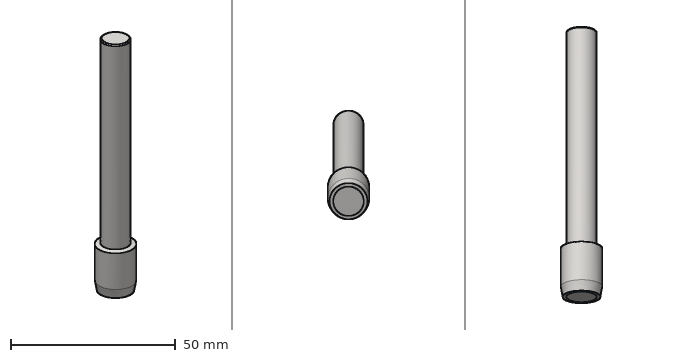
import cadquery as cq

TOTAL_HEIGHT = 85.7

SLEEVE_DIAMETER = 12.7
SLEEVE_HEIGHT = 16.0
SLEEVE_FOOT_DIAMETER = 11.5
LEAD_IN_HEIGHT = 3.3
SHOULDER_RISE = 0.4

PIN_DIAMETER = 9.25
PIN_TOP_CHAMFER = 0.4


def make_pin():
    """Straight round pin with a chamfered top edge."""
    pin = cq.Workplane("XY").circle(PIN_DIAMETER / 2).extrude(TOTAL_HEIGHT)
    return pin.faces(">Z").chamfer(PIN_TOP_CHAMFER)


def make_sleeve():
    """Round sleeve with a tapered foot, a shallow conical shoulder and a bore that fits the pin."""
    bore_radius = PIN_DIAMETER / 2
    outer_radius = SLEEVE_DIAMETER / 2
    return (
        cq.Workplane("XZ")
        .moveTo(bore_radius, 0)
        .lineTo(SLEEVE_FOOT_DIAMETER / 2, 0)
        .lineTo(outer_radius, LEAD_IN_HEIGHT)
        .lineTo(outer_radius, SLEEVE_HEIGHT - SHOULDER_RISE)
        .lineTo(bore_radius, SLEEVE_HEIGHT)
        .close()
        .revolve(360, (0, 0, 0), (0, 1, 0))
    )


pin = make_pin()
sleeve = make_sleeve()

result = cq.Compound.makeCompound([pin.val(), sleeve.val()])